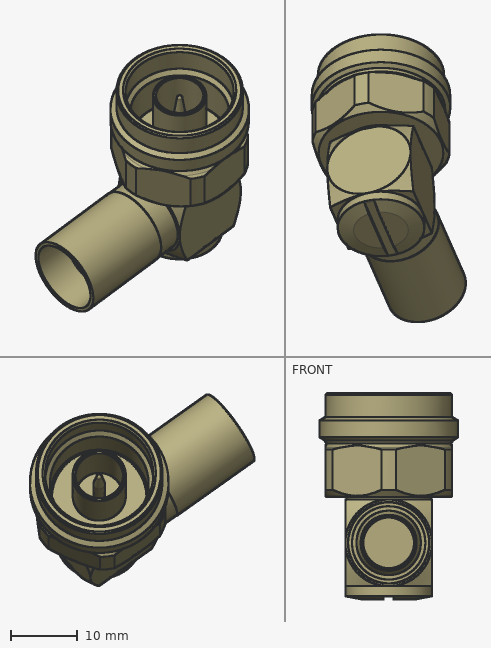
import cadquery as cq
import math


body_half = 6.5
body_face_chamfer_angle = 30.0
cap_radius = body_half
cap_rim_z = -8.0
cap_bottom_z = -8.46
cap_flat_radius = 4.1
slot_width = 1.5
slot_depth = 0.4
neck_radius = 6.35

nut_bottom_z = 6.9
nut_top_z = 22.44
nut_radius = 10.4
hex_across_flats = 19.0
hex_sides = 6
barrel_radius = hex_across_flats / 2
hex_bottom_chamfer = 1.05
hex_top_z = 14.0
hex_top_cone_width = 0.5
hex_top_cone_angle = 30.0
groove_radius = 9.35
groove_z = 14.92
groove_arc_mid = (9.53, 14.57)
groove_upper_radius = 9.65
groove_upper_z = 15.38
ring_bottom_z = 15.87
ring_top_z = 18.35
barrel_bottom_z = 18.87
barrel_edge_chamfer = 0.28

mouth_radius = 8.5
mouth_chamfer = 0.38
bore_radius = mouth_radius - mouth_chamfer
lower_bore_radius = 7.4
bore_step_z = 18.4
socket_floor_z = 12.0
floor_gap_radius = 7.07
floor_gap_depth = 0.5

sleeve_outer_radius = 4.0
sleeve_inner_radius = 3.55
sleeve_top_z = 21.3
sleeve_chamfer = 0.1
pin_radius = 0.85
pin_cone_bottom_z = 17.5
pin_tip_radius = 0.4
pin_tip_center_z = 20.77

stub_radius = 6.06
tube_start = 10.05
tube_end = 24.5
tube_outer_radius = 6.12
tube_inner_radius = 5.5
post_radius = 4.83
post_tip_radius = 4.2
post_end = 19.5
post_taper_length = 2.0
post_bore_radius = 3.8
post_bore_chamfer = 0.1


def revolve_about_z(profile):
    """Full turn about Z of a closed profile whose points are (radius, z)."""
    return profile.close().revolve(360, (0, 0, 0), (0, 1, 0))


def cylinder_z(radius, bottom, top):
    return cq.Workplane("XY").workplane(offset=bottom).circle(radius).extrude(top - bottom)


def cylinder_y(radius, start, end):
    """Cylinder on the cable axis between two distances towards -Y."""
    return cq.Workplane("XZ").workplane(offset=start).circle(radius).extrude(end - start)


def make_body():
    """Cube whose front and back corners are cut by cones about the Y axis."""
    cube = cq.Workplane("XY").box(2 * body_half, 2 * body_half, 2 * body_half)
    corner_radius = body_half * math.sqrt(2)
    cone_depth = (corner_radius - body_half) * math.tan(math.radians(body_face_chamfer_angle))
    turned_envelope = (
        cq.Workplane("XY")
        .moveTo(0, -body_half)
        .lineTo(body_half, -body_half)
        .lineTo(corner_radius, -body_half + cone_depth)
        .lineTo(corner_radius, body_half - cone_depth)
        .lineTo(body_half, body_half)
        .lineTo(0, body_half)
        .close()
        .revolve(360, (0, 0, 0), (0, 1, 0))
    )
    return cube.intersect(turned_envelope)


def make_cap():
    """Round cap under the body with a coned end and a screwdriver slot along Y."""
    cap = revolve_about_z(
        cq.Workplane("XZ")
        .moveTo(0, -body_half)
        .lineTo(cap_radius, -body_half)
        .lineTo(cap_radius, cap_rim_z)
        .lineTo(cap_flat_radius, cap_bottom_z)
        .lineTo(0, cap_bottom_z)
    )
    slot = cq.Workplane("XY").box(
        slot_width, 2 * cap_radius, slot_depth, centered=(True, True, False)
    )
    return cap.cut(slot.translate((0, 0, cap_bottom_z)))


def make_nut():
    """Coupling nut: chamfered hexagon, groove, ring and barrel, bored from the top."""
    cone_end_radius = nut_radius - hex_top_cone_width
    cone_end_z = hex_top_z + hex_top_cone_width * math.tan(math.radians(hex_top_cone_angle))
    turned = revolve_about_z(
        cq.Workplane("XZ")
        .moveTo(0, nut_bottom_z)
        .lineTo(nut_radius - hex_bottom_chamfer, nut_bottom_z)
        .lineTo(nut_radius, nut_bottom_z + hex_bottom_chamfer)
        .lineTo(nut_radius, hex_top_z)
        .lineTo(cone_end_radius, cone_end_z)
        .threePointArc(groove_arc_mid, (groove_radius, groove_z))
        .lineTo(groove_upper_radius, groove_upper_z)
        .lineTo(nut_radius, ring_bottom_z)
        .lineTo(nut_radius, ring_top_z)
        .lineTo(barrel_radius, barrel_bottom_z)
        .lineTo(barrel_radius, nut_top_z - barrel_edge_chamfer)
        .lineTo(barrel_radius - barrel_edge_chamfer, nut_top_z)
        .lineTo(0, nut_top_z)
    )
    across_corners = hex_across_flats / math.cos(math.pi / hex_sides)
    hexagon = (
        cq.Workplane("XY")
        .workplane(offset=nut_bottom_z)
        .transformed(rotate=(0, 0, 90))
        .polygon(hex_sides, across_corners)
        .extrude(groove_z - nut_bottom_z)
    )
    upper_part = cylinder_z(nut_radius, groove_z, nut_top_z)
    return turned.intersect(hexagon.union(upper_part)).cut(make_socket())


def make_socket():
    """Space bored into the nut, with a narrow gap around its floor."""
    step_end_z = bore_step_z - (bore_radius - lower_bore_radius)
    gap_z = socket_floor_z - floor_gap_depth
    return revolve_about_z(
        cq.Workplane("XZ")
        .moveTo(0, socket_floor_z)
        .lineTo(floor_gap_radius, socket_floor_z)
        .lineTo(floor_gap_radius, gap_z)
        .lineTo(lower_bore_radius, gap_z)
        .lineTo(lower_bore_radius, step_end_z)
        .lineTo(bore_radius, bore_step_z)
        .lineTo(bore_radius, nut_top_z - mouth_chamfer)
        .lineTo(mouth_radius, nut_top_z)
        .lineTo(0, nut_top_z)
    )


def make_sleeve():
    """Contact sleeve standing on the socket floor."""
    sleeve = cylinder_z(sleeve_outer_radius, socket_floor_z, sleeve_top_z)
    sleeve = sleeve.faces(">Z").chamfer(sleeve_chamfer)
    return sleeve.cut(cylinder_z(sleeve_inner_radius, socket_floor_z, sleeve_top_z))


def make_pin():
    """Centre pin: cylinder, cone and ball tip."""
    return revolve_about_z(
        cq.Workplane("XZ")
        .moveTo(0, socket_floor_z)
        .lineTo(pin_radius, socket_floor_z)
        .lineTo(pin_radius, pin_cone_bottom_z)
        .lineTo(pin_tip_radius, pin_tip_center_z)
        .radiusArc((0, pin_tip_center_z + pin_tip_radius), -pin_tip_radius)
    )


def make_cable_tube():
    """Stub and crimp tube, with a hollow post, tapered at its tip, inside the tube."""
    stub = cylinder_y(stub_radius, body_half, tube_start)
    tube = cylinder_y(tube_outer_radius, tube_start, tube_end)
    tube = tube.cut(cylinder_y(tube_inner_radius, tube_start, tube_end))
    post = (
        cq.Workplane("XY")
        .moveTo(post_bore_radius, -tube_start)
        .lineTo(post_radius, -tube_start)
        .lineTo(post_radius, -post_end + post_taper_length)
        .lineTo(post_tip_radius, -post_end)
        .lineTo(post_bore_radius + post_bore_chamfer, -post_end)
        .lineTo(post_bore_radius, -post_end + post_bore_chamfer)
        .close()
        .revolve(360, (0, 0, 0), (0, 1, 0))
    )
    return stub.union(tube).union(post)


neck = cylinder_z(neck_radius, body_half, nut_bottom_z)

result = (
    make_body()
    .union(make_cap())
    .union(neck)
    .union(make_nut())
    .union(make_sleeve())
    .union(make_pin())
    .union(make_cable_tube())
)